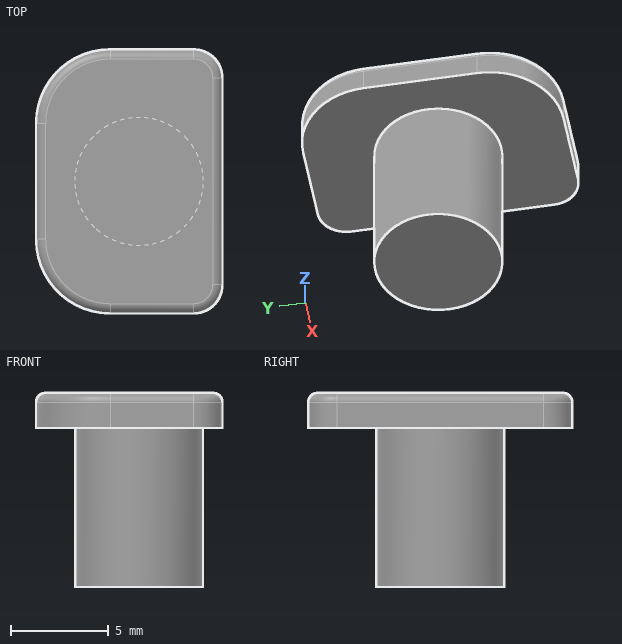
import cadquery as cq

head_length = 13.6
head_width = 9.6
head_thickness = 1.82
left_overhang = 5.3
left_corner_radius = 3.84
right_corner_radius = 1.5
top_edge_radius = 0.5

total_height = 10.0
stem_diameter = 6.6
stem_length = total_height - head_thickness


def make_head():
    """Plate with large corners on -X, small corners on +X and a rounded top edge."""
    head_center_x = head_width / 2 - left_overhang
    plate = (
        cq.Workplane("XY", origin=(head_center_x, 0, stem_length))
        .rect(head_width, head_length)
        .extrude(head_thickness)
    )
    plate = plate.faces("<X").edges("|Z").fillet(left_corner_radius)
    plate = plate.faces(">X").edges("|Z").fillet(right_corner_radius)
    return plate.faces(">Z").edges().fillet(top_edge_radius)


def make_stem():
    """Plain round stem standing on Z = 0 and ending at the underside of the head."""
    return cq.Workplane("XY").circle(stem_diameter / 2).extrude(stem_length)


result = make_stem().union(make_head())